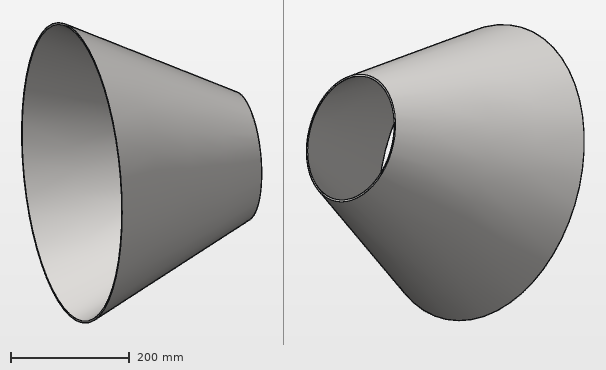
import cadquery as cq
import math

large_diameter = 508.0
small_diameter = 219.0
length = 300.0
wall_thickness = 3.0

large_radius = large_diameter / 2
small_radius = small_diameter / 2
wide_end_y = -length / 2
narrow_end_y = length / 2

half_angle = math.atan2(large_radius - small_radius, length)
radial_wall = wall_thickness / math.cos(half_angle)

wall_section = (
    cq.Workplane("XY")
    .moveTo(large_radius - radial_wall, wide_end_y)
    .lineTo(large_radius, wide_end_y)
    .lineTo(small_radius, narrow_end_y)
    .lineTo(small_radius - radial_wall, narrow_end_y)
    .close()
)

result = wall_section.revolve(360, (0, 0, 0), (0, 1, 0))